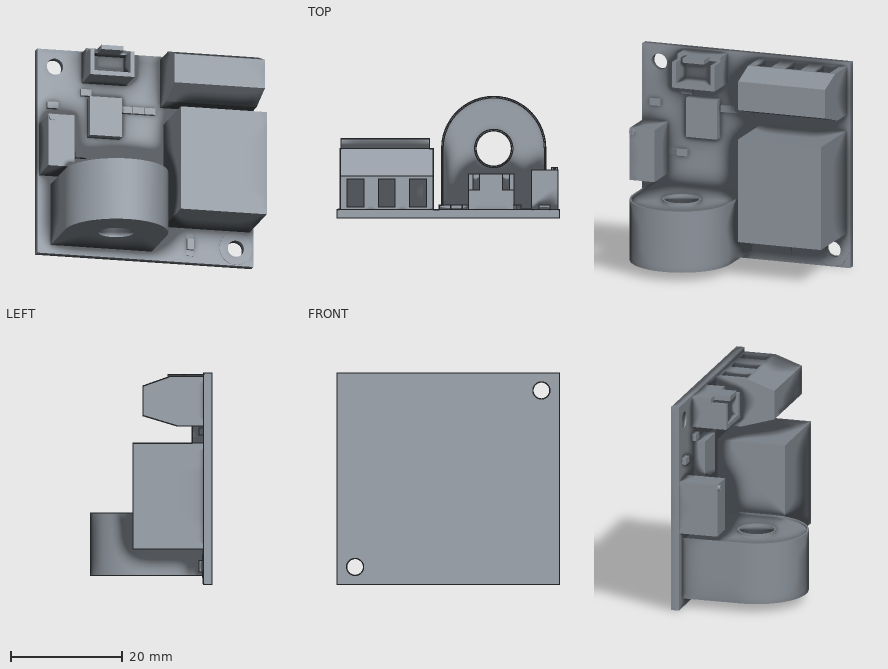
import cadquery as cq

BOARD_WIDTH = 40.0
BOARD_HEIGHT = 38.0
BOARD_THICKNESS = 1.5
HOLE_DIAMETER = 3.0
HOLE_INSET_X = 3.3
HOLE_INSET_Z = 3.15
COPPER_RISE = 0.1
HOLE_PAD_DIAMETER = 6.0
OVERALL_DEPTH = 21.85

TERMINAL_LEFT = 0.6
TERMINAL_WIDTH = 16.7
TERMINAL_BOTTOM = 28.45
TERMINAL_TOP = 37.35
TERMINAL_DEPTH = 12.45
TERMINAL_CREST_BOTTOM = 30.3
TERMINAL_CREST_TOP = 35.65
TERMINAL_LOWER_SHOULDER = 6.25
TERMINAL_UPPER_SHOULDER = 7.5
WIRE_PORT_COUNT = 3
WIRE_PORT_PITCH = 5.65
WIRE_PORT_WIDTH = 3.05
WIRE_PORT_NEAR = 2.0
WIRE_PORT_FAR = 7.05
WIRE_PORT_DROP = 6.0

RELAY_LEFT = 0.7
RELAY_WIDTH = 15.9
RELAY_BOTTOM = 6.35
RELAY_TOP = 25.4
RELAY_DEPTH = 14.25

RING_RADIUS = 9.35
RING_CENTER_X = 28.15
RING_CENTER_Y = OVERALL_DEPTH - RING_RADIUS
RING_BOTTOM = 1.6
RING_TOP = 12.9
RING_BORE_RADIUS = 3.15
RING_WALL = 0.3
POTTING_RECESS = 0.4

PLUG_LEFT = 23.6
PLUG_WIDTH = 8.2
PLUG_BOTTOM = 32.1
PLUG_TOP = 37.7
PLUG_DEPTH = 7.9
PLUG_WALL = 0.8
PLUG_CAVITY_START = 3.0
PLUG_NOTCH_START = 5.05
PLUG_NOTCH_WIDTH = 2.05
PLUG_NOTCH_DROP = 0.9

TRIMMER_LEFT = 34.9
TRIMMER_WIDTH = 4.8
TRIMMER_BOTTOM = 14.4
TRIMMER_HEIGHT = 9.6
TRIMMER_DEPTH = 8.65
TRIMMER_SCREW_RADIUS = 0.55
TRIMMER_SCREW_INSET = 0.65
TRIMMER_SCREW_RISE = 0.45
SCREW_SLOT_WIDTH = 0.25
SCREW_SLOT_DEPTH = 0.2

CHIP_LEFT = 24.8
CHIP_WIDTH = 6.0
CHIP_BOTTOM = 22.0
CHIP_HEIGHT = 7.2
CHIP_DEPTH = 3.6

SMD_LENGTH = 2.0
SMD_WIDTH = 1.2
SMD_DEPTH = 2.3
SMD_ROW_BOTTOM = 26.9
SMD_ROW_LEFTS = (18.35, 20.5, 22.6, 36.3)
SMD_FRONT_LEFT = 30.1
SMD_FRONT_BOTTOM = 29.6
SMD_REAR_LEFT = 31.1
SMD_REAR_BOTTOM = 18.0
UPRIGHT_SMD_LEFT = 11.2
UPRIGHT_SMD_BOTTOM = 2.3
PAD_RISE = 0.2
PAD_OVERHANG = 1.05


def block(left, width, bottom, top, near, far):
    """Box given by its X start and width, its Z range and its Y range."""
    return cq.Workplane("XY").box(width, far - near, top - bottom, centered=False).translate((left, near, bottom))


def on_board(left, width, bottom, height, depth):
    """Box standing on the component face of the board, reaching y = depth."""
    return block(left, width, bottom, bottom + height, BOARD_THICKNESS, depth)


def make_board():
    board = block(0, BOARD_WIDTH, 0, BOARD_HEIGHT, 0, BOARD_THICKNESS)
    lower_hole = (HOLE_INSET_X, HOLE_INSET_Z)
    upper_hole = (BOARD_WIDTH - HOLE_INSET_X, BOARD_HEIGHT - HOLE_INSET_Z)
    copper_face = BOARD_THICKNESS + COPPER_RISE
    pad = (
        cq.Workplane("XZ", origin=(0, BOARD_THICKNESS, 0))
        .pushPoints([lower_hole])
        .circle(HOLE_PAD_DIAMETER / 2)
        .extrude(-COPPER_RISE)
    )
    holes = (
        cq.Workplane("XZ")
        .pushPoints([lower_hole, upper_hole])
        .circle(HOLE_DIAMETER / 2)
        .extrude(-copper_face)
    )
    return board.union(pad).cut(holes)


def make_terminal_block():
    profile = [
        (BOARD_THICKNESS, TERMINAL_BOTTOM),
        (TERMINAL_LOWER_SHOULDER, TERMINAL_BOTTOM),
        (TERMINAL_DEPTH, TERMINAL_CREST_BOTTOM),
        (TERMINAL_DEPTH, TERMINAL_CREST_TOP),
        (TERMINAL_UPPER_SHOULDER, TERMINAL_TOP),
        (BOARD_THICKNESS, TERMINAL_TOP),
    ]
    body = (
        cq.Workplane("YZ", origin=(TERMINAL_LEFT, 0, 0))
        .polyline(profile)
        .close()
        .extrude(TERMINAL_WIDTH)
    )
    middle = TERMINAL_LEFT + TERMINAL_WIDTH / 2
    for index in range(WIRE_PORT_COUNT):
        port_center = middle + (index - (WIRE_PORT_COUNT - 1) / 2) * WIRE_PORT_PITCH
        port = block(
            port_center - WIRE_PORT_WIDTH / 2,
            WIRE_PORT_WIDTH,
            TERMINAL_TOP - WIRE_PORT_DROP,
            TERMINAL_TOP,
            WIRE_PORT_NEAR,
            WIRE_PORT_FAR,
        )
        body = body.cut(port)
    return body


def arch(radius, bottom, top):
    """Round-topped slab rising from the board around the transformer axis."""
    return (
        cq.Workplane("XY", origin=(0, 0, bottom))
        .moveTo(RING_CENTER_X - radius, BOARD_THICKNESS)
        .lineTo(RING_CENTER_X - radius, RING_CENTER_Y)
        .threePointArc((RING_CENTER_X, RING_CENTER_Y + radius), (RING_CENTER_X + radius, RING_CENTER_Y))
        .lineTo(RING_CENTER_X + radius, BOARD_THICKNESS)
        .close()
        .extrude(top - bottom)
    )


def ring_cylinder(radius):
    """Full-height cylinder on the transformer axis."""
    return (
        cq.Workplane("XY", origin=(RING_CENTER_X, RING_CENTER_Y, RING_BOTTOM))
        .circle(radius)
        .extrude(RING_TOP - RING_BOTTOM)
    )


def make_current_transformer():
    recess = arch(RING_RADIUS - RING_WALL, RING_TOP - POTTING_RECESS, RING_TOP)
    recess = recess.cut(ring_cylinder(RING_BORE_RADIUS + RING_WALL))
    case = arch(RING_RADIUS, RING_BOTTOM, RING_TOP)
    return case.cut(recess).cut(ring_cylinder(RING_BORE_RADIUS))


def make_plug():
    shroud = block(PLUG_LEFT, PLUG_WIDTH, PLUG_BOTTOM, PLUG_TOP, BOARD_THICKNESS, PLUG_DEPTH)
    cavity = block(
        PLUG_LEFT + PLUG_WALL,
        PLUG_WIDTH - 2 * PLUG_WALL,
        PLUG_BOTTOM + PLUG_WALL,
        PLUG_TOP - PLUG_WALL,
        PLUG_CAVITY_START,
        PLUG_DEPTH,
    )
    shroud = shroud.cut(cavity)
    for notch_left in (PLUG_LEFT, PLUG_LEFT + PLUG_WIDTH - PLUG_NOTCH_WIDTH):
        notch = block(
            notch_left,
            PLUG_NOTCH_WIDTH,
            PLUG_TOP - PLUG_NOTCH_DROP,
            PLUG_TOP,
            PLUG_NOTCH_START,
            PLUG_DEPTH,
        )
        shroud = shroud.cut(notch)
    return shroud


def make_trimmer():
    body = on_board(TRIMMER_LEFT, TRIMMER_WIDTH, TRIMMER_BOTTOM, TRIMMER_HEIGHT, TRIMMER_DEPTH)
    screw_x = TRIMMER_LEFT + TRIMMER_WIDTH - TRIMMER_SCREW_INSET
    screw_z = TRIMMER_BOTTOM + TRIMMER_HEIGHT - TRIMMER_SCREW_INSET
    screw_end = TRIMMER_DEPTH + TRIMMER_SCREW_RISE
    screw = (
        cq.Workplane("XZ", origin=(screw_x, TRIMMER_DEPTH, screw_z))
        .circle(TRIMMER_SCREW_RADIUS)
        .extrude(-TRIMMER_SCREW_RISE)
    )
    slot = block(
        screw_x - SCREW_SLOT_WIDTH / 2,
        SCREW_SLOT_WIDTH,
        screw_z - TRIMMER_SCREW_RADIUS,
        screw_z + TRIMMER_SCREW_RADIUS,
        screw_end - SCREW_SLOT_DEPTH,
        screw_end,
    )
    return body.union(screw.cut(slot))


def make_small_parts():
    places = [(left, SMD_ROW_BOTTOM) for left in SMD_ROW_LEFTS]
    places.append((SMD_FRONT_LEFT, SMD_FRONT_BOTTOM))
    places.append((SMD_REAR_LEFT, SMD_REAR_BOTTOM))
    parts = [on_board(left, SMD_LENGTH, bottom, SMD_WIDTH, SMD_DEPTH) for left, bottom in places]

    parts.append(on_board(UPRIGHT_SMD_LEFT, SMD_WIDTH, UPRIGHT_SMD_BOTTOM, SMD_LENGTH, SMD_DEPTH))
    pad_bottom = UPRIGHT_SMD_BOTTOM - PAD_OVERHANG
    pad_length = SMD_LENGTH + 2 * PAD_OVERHANG
    parts.append(on_board(UPRIGHT_SMD_LEFT, SMD_WIDTH, pad_bottom, pad_length, BOARD_THICKNESS + PAD_RISE))

    trace_left = SMD_REAR_LEFT + SMD_LENGTH
    trace_width = TRIMMER_LEFT - trace_left
    parts.append(on_board(trace_left, trace_width, SMD_REAR_BOTTOM, SMD_WIDTH, BOARD_THICKNESS + COPPER_RISE))
    return parts


components = [
    make_terminal_block(),
    on_board(RELAY_LEFT, RELAY_WIDTH, RELAY_BOTTOM, RELAY_TOP - RELAY_BOTTOM, RELAY_DEPTH),
    make_current_transformer(),
    make_plug(),
    make_trimmer(),
    on_board(CHIP_LEFT, CHIP_WIDTH, CHIP_BOTTOM, CHIP_HEIGHT, CHIP_DEPTH),
    *make_small_parts(),
]

result = make_board()
for component in components:
    result = result.union(component)